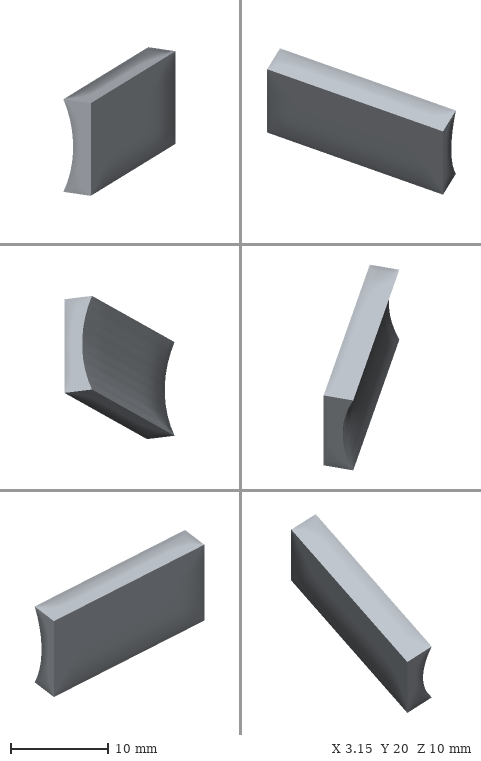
import cadquery as cq

thickness = 3.15
length = 20.0
height = 10.0
hollow_depth = 1.12

back_x = thickness / 2
front_x = -thickness / 2
top_z = height / 2
bottom_z = -height / 2

profile = (
    cq.Workplane("XZ")
    .moveTo(front_x, bottom_z)
    .lineTo(back_x, bottom_z)
    .lineTo(back_x, top_z)
    .lineTo(front_x, top_z)
    .threePointArc((front_x + hollow_depth, 0), (front_x, bottom_z))
    .close()
)

result = profile.extrude(length / 2, both=True)